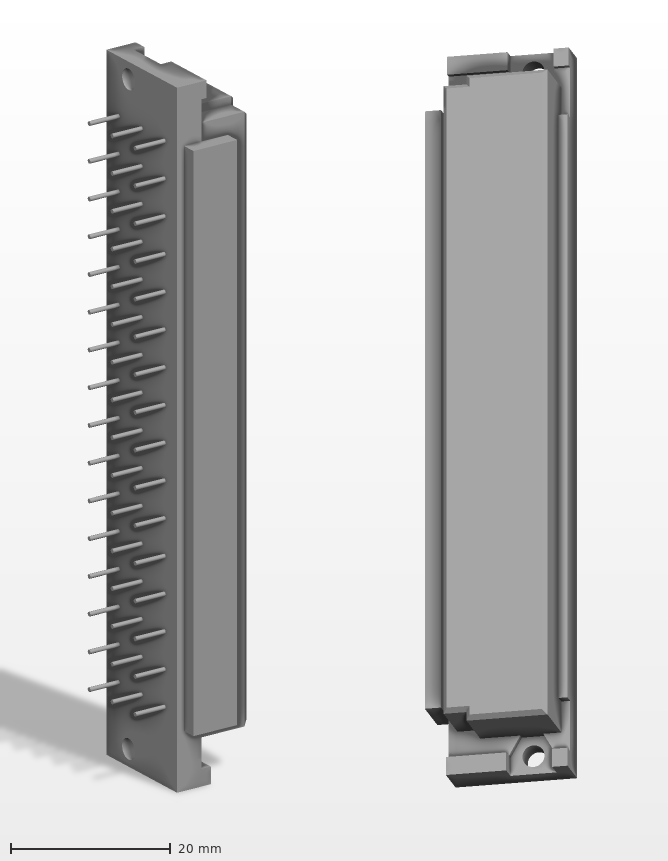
import cadquery as cq
import math

height = 94.9
body_width = 15.7
floor_depth = 3.7
land_depth = 5.1
top_flange_depth = 4.5
flange_height = 2.4
land_inset = 9.0

insert_width = 13.4
insert_inset = 4.9
insert_top = 11.7
insert_left = (body_width - insert_width) / 2
insert_right = insert_left + insert_width
key_width = 2.9
key_height = 1.1
lead_in_side = 0.6
lead_in_depth = 0.7

overall_width = 17.7
rail_inset = 8.1
rail_bottom = 1.0
rail_top = 7.7

hole_diameter = 2.8
hole_x = 4.9
hole_inset = 2.4
pocket_floor = 2.8
nut_flat_radius = insert_inset - hole_inset
nut_corner_radius = nut_flat_radius / math.cos(math.pi / 6)

pin_diameter = 0.6
overall_depth = 16.1
pin_length = overall_depth - insert_top
pin_row_span = 76.2
pin_columns = 3
pin_rows = 16
pin_pitch = pin_row_span / (pin_rows - 1)
pin_middle_x = 7.8
pin_top_inset = 8.1


def mirror_ends(shape):
    """Mirror a shape to the opposite end of the body."""
    return shape.mirror("XY", (0, 0, height / 2))


def plane_at(y):
    """XZ workplane at depth y; it extrudes toward -Y, so negative lengths go into the body."""
    return cq.Workplane(cq.Plane(origin=(0, y, 0), xDir=(1, 0, 0), normal=(0, -1, 0)))


def make_body():
    """Side profile with end flanges, reliefs and middle land, extruded across the width."""
    profile = [
        (0, 0),
        (land_depth, 0),
        (land_depth, flange_height),
        (floor_depth, flange_height),
        (floor_depth, land_inset),
        (land_depth, land_inset),
        (land_depth, height - land_inset),
        (floor_depth, height - land_inset),
        (floor_depth, height - flange_height),
        (top_flange_depth, height - flange_height),
        (top_flange_depth, height),
        (0, height),
    ]
    return cq.Workplane("YZ").polyline(profile).close().extrude(body_width)


def make_insert():
    """Insert with stepped right corners and a lead-in chamfer around its mating face."""
    bottom = insert_inset
    top = height - insert_inset
    key_x = insert_right - key_width
    outline = [
        (insert_left, bottom),
        (key_x, bottom),
        (key_x, bottom + key_height),
        (insert_right, bottom + key_height),
        (insert_right, top - key_height),
        (key_x, top - key_height),
        (key_x, top),
        (insert_left, top),
    ]
    insert = plane_at(0).polyline(outline).close().extrude(-insert_top)
    return insert.faces(">Y").edges().chamfer(lead_in_depth, lead_in_side)


def make_rail():
    """Plain bar along the right side of the body."""
    corner = (body_width, rail_bottom, rail_inset)
    size = (overall_width - body_width, rail_top - rail_bottom, height - 2 * rail_inset)
    return cq.Workplane("XY").box(*size, centered=False).translate(corner)


def make_pins():
    """Grid of round pins standing out of the mounting face."""
    first_x = pin_middle_x - pin_pitch * (pin_columns - 1) / 2
    centres = [
        (first_x + column * pin_pitch, height - pin_top_inset - row * pin_pitch)
        for column in range(pin_columns)
        for row in range(pin_rows)
    ]
    return plane_at(0).pushPoints(centres).circle(pin_diameter / 2).extrude(pin_length)


def make_nut_pocket():
    """Lower half of a hexagon, continued straight out through the top end."""
    centre_z = height - hole_inset
    outline = [
        (hole_x - nut_corner_radius, height),
        (hole_x - nut_corner_radius, centre_z),
        (hole_x - nut_corner_radius / 2, centre_z - nut_flat_radius),
        (hole_x + nut_corner_radius / 2, centre_z - nut_flat_radius),
        (hole_x + nut_corner_radius, centre_z),
        (hole_x + nut_corner_radius, height),
    ]
    return plane_at(pocket_floor).polyline(outline).close().extrude(pocket_floor - land_depth)


def make_mounting_hole():
    """Round hole through the full depth of an end flange."""
    hole = plane_at(0).center(hole_x, height - hole_inset).circle(hole_diameter / 2)
    return hole.extrude(-land_depth)


end_cut = make_nut_pocket().union(make_mounting_hole())

result = (
    make_body()
    .union(make_insert())
    .union(make_rail())
    .union(make_pins())
    .cut(end_cut)
    .cut(mirror_ends(end_cut))
)